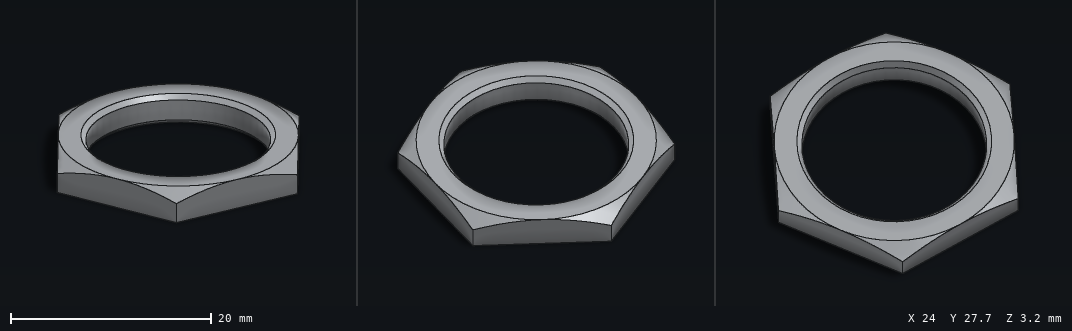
import cadquery as cq
import math

across_corners = 27.7
across_flats = across_corners * math.cos(math.radians(30))
height = 3.2
bore_diameter = 18.45
bore_chamfer = 0.5
corner_chamfer_angle = 30.0

corner_radius = across_corners / 2
flat_radius = across_flats / 2
corner_drop = (corner_radius - flat_radius) * math.tan(math.radians(corner_chamfer_angle))


def hexagonal_blank():
    return (
        cq.Workplane("XY")
        .polygon(6, across_corners)
        .extrude(height)
        .rotate((0, 0, 0), (0, 0, 1), 90)
    )


def corner_envelope():
    """Turned solid whose conical top meets the top face at the flats."""
    return (
        cq.Workplane("XZ")
        .moveTo(0, 0)
        .lineTo(corner_radius, 0)
        .lineTo(corner_radius, height - corner_drop)
        .lineTo(flat_radius, height)
        .lineTo(0, height)
        .close()
        .revolve(360, (0, 0, 0), (0, 1, 0))
    )


def chamfered_bore():
    """Through bore, widened by a 45 degree chamfer at both ends."""
    bore_radius = bore_diameter / 2
    mouth_radius = bore_radius + bore_chamfer
    return (
        cq.Workplane("XZ")
        .moveTo(0, 0)
        .lineTo(mouth_radius, 0)
        .lineTo(bore_radius, bore_chamfer)
        .lineTo(bore_radius, height - bore_chamfer)
        .lineTo(mouth_radius, height)
        .lineTo(0, height)
        .close()
        .revolve(360, (0, 0, 0), (0, 1, 0))
    )


result = hexagonal_blank().intersect(corner_envelope()).cut(chamfered_bore())